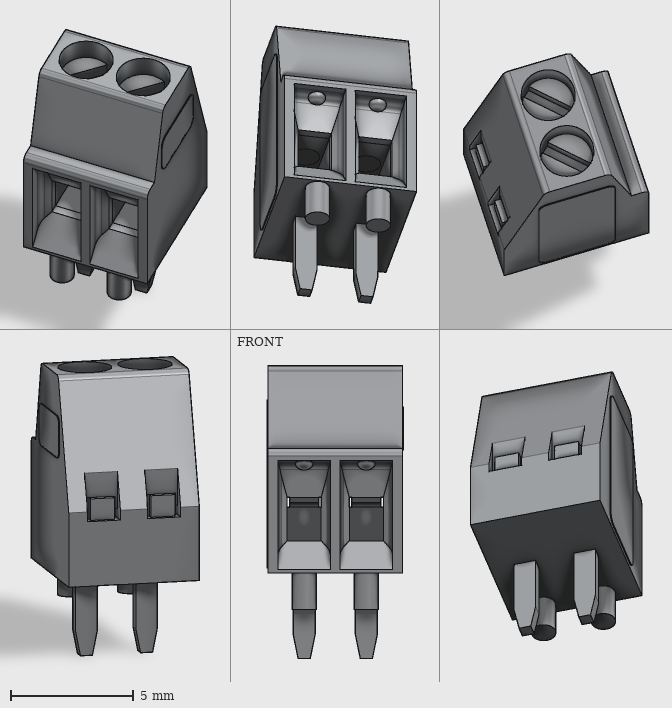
import cadquery as cq
import math


overall_height = 12.0

pitch = 2.55
pole_xs = [-pitch / 2, pitch / 2]

housing_width = 5.52
housing_depth = 6.2
housing_height = 8.5
shoulder_height = 5.1
shoulder_depth = 0.75
front_slope_angle = 75
back_slope_bottom = 3.11
back_slope_top_y = 4.46
edge_radius = 0.3

panel_thickness = 0.042
panel_front_y = 1.45
panel_depth = 3.26
panel_radius = 0.4
left_panel_bottom, left_panel_top = 0.22, 7.09
right_panel_bottom, right_panel_top = 5.04, 6.8

peg_diameter = 1.0
peg_length = 1.5
peg_y = 0.55

mouth_width = 2.15
mouth_bottom = 0.15
mouth_top = 4.61
funnel_depth = 1.1
funnel_radius = 0.5
funnel_roof_angle = 75
funnel_side_angle = 45
passage_width = 1.39
passage_bottom = 1.32
passage_top = 3.1

bump_radius = 0.45
bump_y = 0.84
bump_z = 4.65

pocket_depth = 0.49
pocket_floor = 2.7
pocket_front_y = housing_depth - pocket_depth

screw_y = 3.05
screw_hole_diameter = 2.21
head_diameter = 2.11
head_recess = 0.88
head_top = housing_height - head_recess
head_bottom = 5.4
shank_diameter = 1.2
slot_width = 0.5
slot_depth = 0.5
slot_angle = 45

clamp_front_y = 1.49
clamp_back_y = 2 * screw_y - clamp_front_y
clamp_wall = 0.2
clamp_width = passage_width + 2 * clamp_wall
clamp_bottom = 0.96
clamp_top = 3.6
tongue_width = 1.2
tongue_tip_width = 1.01
tongue_lip_y = 5.28
tongue_lip_bottom = 2.88
tongue_back_gap = 0.22
tongue_back_y = housing_depth - tongue_back_gap

pin_y = 3.07
pin_width = 0.91
pin_tip_width = 0.5
pin_thickness = 0.5
pin_taper_top = -2.5
pin_bottom = housing_height - overall_height


def box(x, width, y0, y1, z0, z1):
    """Box centred on x, between two Y and two Z limits."""
    return cq.Workplane("XY").box(width, y1 - y0, z1 - z0).translate((x, (y0 + y1) / 2, (z0 + z1) / 2))


def upright_cylinder(x, y, diameter, z0, z1):
    return cq.Workplane("XY", origin=(x, y, z0)).circle(diameter / 2).extrude(z1 - z0)


def extrude_along_x(profile, x, width):
    """Extrude a closed (Y, Z) profile over a width centred on x."""
    return profile.extrude(width / 2, both=True).translate((x, 0, 0))


def housing_block():
    slope_run = (housing_height - shoulder_height) / math.tan(math.radians(front_slope_angle))
    block = extrude_along_x(
        cq.Workplane("YZ").polyline([
            (0, 0),
            (0, shoulder_height),
            (shoulder_depth, shoulder_height),
            (shoulder_depth + slope_run, housing_height),
            (back_slope_top_y, housing_height),
            (housing_depth, back_slope_bottom),
            (housing_depth, 0),
        ]).close(), 0, housing_width)
    top_edges = block.faces(">Z").edges("|X")
    shoulder_edge = block.edges("|X").edges(cq.selectors.NearestToPointSelector((0, 0, shoulder_height)))
    return block.newObject(top_edges.vals() + shoulder_edge.vals()).fillet(edge_radius)


def label_panel(side, bottom, top):
    """Raised panel with rounded corners on the end face at the given side (-1 or 1)."""
    panel = box(0, panel_thickness, panel_front_y, panel_front_y + panel_depth, bottom, top)
    centre_x = side * (housing_width + panel_thickness) / 2
    return panel.edges("|X").fillet(panel_radius).translate((centre_x, 0, 0))


def funnel_wall(wall, throat, angle):
    """Start, middle and end of the curve, then the throat, of a wall that bends inward by an angle.

    Each point is (depth, distance); the distance falls from wall to throat at the funnel depth.
    """
    bend = math.radians(angle)
    drop = funnel_radius * (1 - math.cos(bend))
    taper_depth = (wall - throat - drop) / math.tan(bend)
    start = funnel_depth - taper_depth - funnel_radius * math.sin(bend)
    curve = [
        (start + funnel_radius * math.sin(a), wall - funnel_radius * (1 - math.cos(a)))
        for a in (0, bend / 2, bend)
    ]
    return curve + [(funnel_depth, throat)]


def wire_funnel(x):
    """Mouth for the wire: a ramp below, a curved roof above and curved sides."""
    start, middle, end, throat = funnel_wall(mouth_top, passage_top, funnel_roof_angle)
    side_cut = extrude_along_x(
        cq.Workplane("YZ").moveTo(0, mouth_bottom).lineTo(0, mouth_top).lineTo(*start)
        .threePointArc(middle, end).lineTo(*throat).lineTo(funnel_depth, passage_bottom).close(),
        x, mouth_width)
    walls = funnel_wall(mouth_width / 2, passage_width / 2, funnel_side_angle)
    right = [(offset, depth) for depth, offset in walls]
    left = [(-offset, depth) for depth, offset in walls]
    plan_cut = (
        cq.Workplane("XY").moveTo(-mouth_width / 2, 0).lineTo(mouth_width / 2, 0)
        .lineTo(*right[0]).threePointArc(right[1], right[2]).lineTo(*right[3])
        .lineTo(*left[3]).lineTo(*left[2]).threePointArc(left[1], left[0]).close()
        .extrude(mouth_top).translate((x, 0, 0)))
    return side_cut.intersect(plan_cut)


def funnel_bump(x):
    return cq.Workplane("XY", origin=(x, bump_y, bump_z)).sphere(bump_radius)


def pole_openings(x):
    """Everything removed from the housing for one pole."""
    passage = box(x, passage_width, funnel_depth, clamp_front_y, passage_bottom, passage_top)
    clamp_recess = box(x, clamp_width, clamp_front_y, clamp_back_y, clamp_bottom, clamp_top)
    rear_window = box(x, passage_width, clamp_back_y, pocket_front_y, pocket_floor, passage_top)
    tongue_channel = box(x, tongue_width, clamp_back_y, pocket_front_y, passage_top, clamp_top)
    pocket = box(x, passage_width, pocket_front_y, housing_depth, pocket_floor, housing_height)
    head_hole = upright_cylinder(x, screw_y, screw_hole_diameter, head_bottom, housing_height)
    shank_hole = upright_cylinder(x, screw_y, shank_diameter, clamp_top, head_bottom)
    pin_slot = box(x, pin_width, pin_y - pin_thickness / 2, pin_y + pin_thickness / 2, 0, clamp_bottom)
    return [
        wire_funnel(x), passage, clamp_recess, rear_window, tongue_channel,
        pocket, head_hole, shank_hole, pin_slot,
    ]


def make_housing():
    body = housing_block()
    body = body.union(label_panel(-1, left_panel_bottom, left_panel_top))
    body = body.union(label_panel(1, right_panel_bottom, right_panel_top))
    for x in pole_xs:
        for opening in pole_openings(x):
            body = body.cut(opening)
        body = body.union(funnel_bump(x))
        body = body.union(upright_cylinder(x, peg_y, peg_diameter, -peg_length, 0))
    return body


def clamp_tongue(x):
    """Arm from the clamp roof to the rear pocket, with a hollowed lip turned down on the pocket floor."""
    lip_radius = tongue_lip_bottom - pocket_floor
    middle_offset = lip_radius * math.sqrt(0.5)
    lip_middle = (tongue_lip_y + middle_offset, pocket_floor + middle_offset)
    arm = extrude_along_x(
        cq.Workplane("YZ").moveTo(clamp_back_y, clamp_top).lineTo(clamp_back_y, passage_top)
        .lineTo(tongue_lip_y, passage_top).lineTo(tongue_lip_y, tongue_lip_bottom)
        .threePointArc(lip_middle, (tongue_lip_y + lip_radius, pocket_floor))
        .lineTo(pocket_front_y, pocket_floor).lineTo(pocket_front_y, clamp_top).close(),
        x, tongue_width)
    tip = box(x, tongue_tip_width, pocket_front_y, tongue_back_y, pocket_floor, clamp_top)
    return arm.union(tip)


def make_clamp(x):
    """Open-ended cage around the wire passage, with a screw hole in its roof and a rear tongue."""
    cage = box(x, clamp_width, clamp_front_y, clamp_back_y, clamp_bottom, clamp_top)
    cage = cage.cut(box(x, passage_width, clamp_front_y, clamp_back_y, passage_bottom, passage_top))
    cage = cage.cut(upright_cylinder(x, screw_y, shank_diameter, passage_top, clamp_top))
    return cage.union(clamp_tongue(x))


def make_screw(x):
    head = upright_cylinder(x, screw_y, head_diameter, head_bottom, head_top)
    shank = upright_cylinder(x, screw_y, shank_diameter, passage_top, head_bottom)
    slot = (
        cq.Workplane("XY").box(2 * head_diameter, slot_width, slot_depth)
        .rotate((0, 0, 0), (0, 0, 1), slot_angle)
        .translate((x, screw_y, head_top - slot_depth / 2)))
    return head.union(shank).cut(slot)


def make_pin(x):
    """Flat pin with a tapered tip, standing under the clamp."""
    half_width = pin_width / 2
    half_tip = pin_tip_width / 2
    outline = cq.Workplane("XZ").polyline([
        (-half_width, clamp_bottom),
        (half_width, clamp_bottom),
        (half_width, pin_taper_top),
        (half_tip, pin_bottom),
        (-half_tip, pin_bottom),
        (-half_width, pin_taper_top),
    ]).close()
    return outline.extrude(pin_thickness / 2, both=True).translate((x, pin_y, 0))


housing = make_housing()
clamps = [make_clamp(x) for x in pole_xs]
screws = [make_screw(x) for x in pole_xs]
pins = [make_pin(x) for x in pole_xs]

bodies = [housing, *clamps, *screws, *pins]
result = cq.Compound.makeCompound([body.solids().val() for body in bodies])